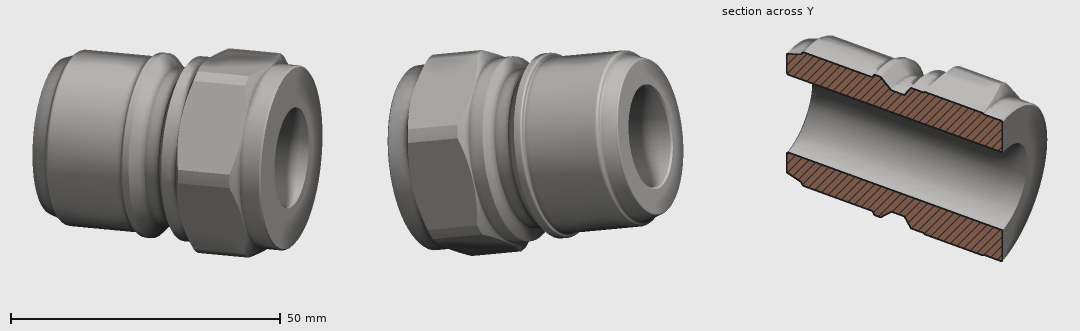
import cadquery as cq
import math

length = 46.0

bore_radius = 9.48
bore_mouth_chamfer = 0.3

nose_radius = 14.7
nose_edge_round = 0.3
nose_end_x = 2.8
nose_end_radius = 15.6

barrel_radius = 16.45
barrel_start_x = 3.85
shoulder_mid_x = 3.2
shoulder_mid_radius = 16.0

collar_radius = 17.3
collar_start_x = 18.05
collar_end_x = 20.0

groove_radius = 14.95
groove_start_x = 22.3
groove_end_x = 25.05
groove_rim_x = 26.45

hex_start_x = 29.25
hex_end_x = 41.95
hex_across_flats = 35.0
hex_corner_radius = 19.5
hex_chamfer_angle = 30.0

tail_edge_chamfer = 0.28


def arc_fraction(radius):
    """Offset of the middle of a quarter round from its two outer tangent lines."""
    return radius * (1 - math.sqrt(0.5))


def make_body():
    """Revolved body: nose, barrel, collar, groove and tail."""
    nose_mid = arc_fraction(nose_edge_round)
    collar_round = (collar_radius - barrel_radius) / 2
    collar_mid = arc_fraction(collar_round)
    collar_face_x = collar_start_x + collar_round
    profile = (
        cq.Workplane("XY")
        .lineTo(0, nose_radius - nose_edge_round)
        .threePointArc((nose_mid, nose_radius - nose_mid), (nose_edge_round, nose_radius))
        .lineTo(nose_end_x, nose_end_radius)
        .tangentArcPoint((shoulder_mid_x, shoulder_mid_radius), relative=False)
        .tangentArcPoint((barrel_start_x, barrel_radius), relative=False)
        .lineTo(collar_start_x, barrel_radius)
        .threePointArc(
            (collar_face_x - collar_mid, barrel_radius + collar_mid),
            (collar_face_x, barrel_radius + collar_round),
        )
        .threePointArc(
            (collar_face_x + collar_mid, collar_radius - collar_mid),
            (collar_face_x + collar_round, collar_radius),
        )
        .lineTo(collar_end_x, collar_radius)
        .lineTo(groove_start_x, groove_radius)
        .lineTo(groove_end_x, groove_radius)
        .lineTo(groove_rim_x, collar_radius)
        .lineTo(length - tail_edge_chamfer, collar_radius)
        .lineTo(length, collar_radius - tail_edge_chamfer)
        .lineTo(length, 0)
        .close()
    )
    return profile.revolve(360, (0, 0, 0), (1, 0, 0))


def make_hex():
    """Hexagon with flats facing +Z and -Z, rounded corners and chamfered ends."""
    hex_length = hex_end_x - hex_start_x
    across_corners = hex_across_flats / math.cos(math.pi / 6)
    prism = (
        cq.Workplane("YZ", origin=(hex_start_x, 0, 0))
        .polygon(6, across_corners)
        .extrude(hex_length)
    )
    chamfer_length = (hex_corner_radius - collar_radius) * math.tan(math.radians(hex_chamfer_angle))
    envelope = (
        cq.Workplane("XY")
        .moveTo(hex_start_x, 0)
        .lineTo(hex_start_x, collar_radius)
        .lineTo(hex_start_x + chamfer_length, hex_corner_radius)
        .lineTo(hex_end_x - chamfer_length, hex_corner_radius)
        .lineTo(hex_end_x, collar_radius)
        .lineTo(hex_end_x, 0)
        .close()
        .revolve(360, (0, 0, 0), (1, 0, 0))
    )
    return prism.intersect(envelope)


def make_bore():
    """Through bore with a chamfered mouth at the nose face."""
    return (
        cq.Workplane("XY")
        .lineTo(0, bore_radius + bore_mouth_chamfer)
        .lineTo(bore_mouth_chamfer, bore_radius)
        .lineTo(length, bore_radius)
        .lineTo(length, 0)
        .close()
        .revolve(360, (0, 0, 0), (1, 0, 0))
    )


result = make_body().union(make_hex()).cut(make_bore())